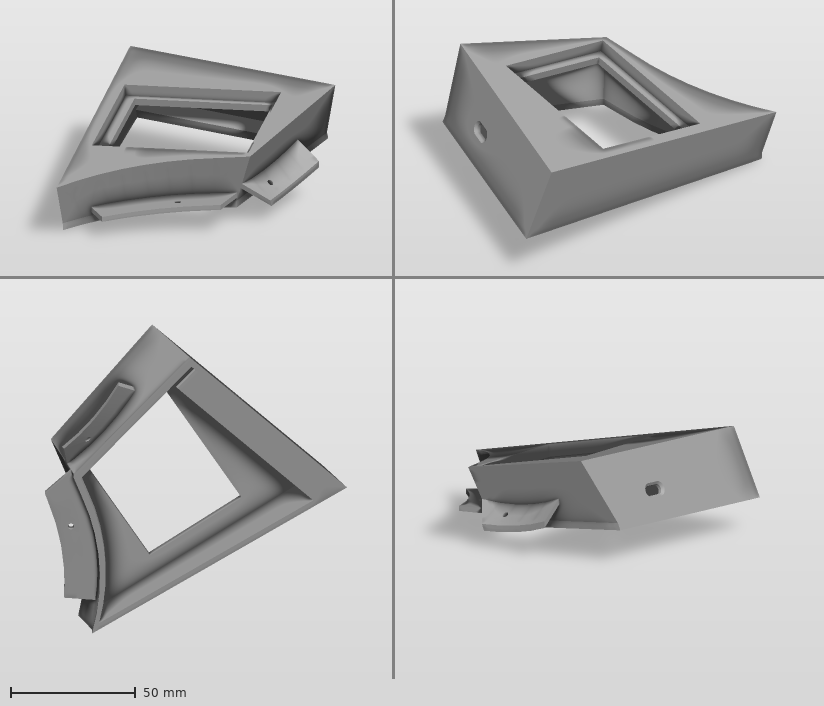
import cadquery as cq
import math

WALL = 2.5
RIM_HEIGHT = 3.0
RECESS_DEPTH = 5.0
PLATE_DEPTH = 8.0
TAB_HOLE_DIAMETER = 2.6
CUT_REACH = 24.6
LARGE = 246.0

TOP_FACE = (0.017, 0.1835, 20.0)
BOTTOM_FACE = (0.0102, 0.1094, -1.0)

TOP_OUTLINE = [(26.8, 0), (50.9, 25.8), (76.7, 39.8), (90.4, 45.4), (96.4, 107.1), (1.6, 111.0)]
BOTTOM_OUTLINE = [(26.0, 6.9), (49.0, 32.5), (73.8, 46.6), (82.0, 50.0), (86.7, 119.3), (0, 123)]

RECESS_CORNER = (14.1, 82.4)
PANEL_DIRECTION = (52.0, 10.7)
RECESS_LENGTH, RECESS_WIDTH = 65.3, 49.5
LEDGE_LEFT, LEDGE_RIGHT, LEDGE_BACK, LEDGE_FRONT = 4.2, 3.6, 2.1, 3.6

SLOT_X, SLOT_Y = 59.0, 115.6
SLOT_LENGTH, SLOT_WIDTH = 11.4, 6.0
SLOT_BEVEL = 1.0

BACK_FLANGE_WIDTH = 12.7
BACK_FLANGE_HEIGHT = 4.0
BACK_FLANGE_GAP = 3.5

FRONT_TAB_FACE = (0.044, 0.05, 6.0)
FRONT_TAB_THICKNESS = 2.1
FRONT_TAB_OUTER = [(43.3, 7.7), (59.9, 22.4), (79.0, 33.1), (82.6, 34.8)]
FRONT_TAB_INNER = [(82.8, 49.1), (75, 45.8), (49.8, 31.9), (33.8, 16.1)]
FRONT_TAB_HOLE = (64.7, 32.1)

RIGHT_TAB_CORNER = (94.3, 54.0, 8.6)
RIGHT_TAB_RUN = (3.7, 36.0, 6.1)
RIGHT_TAB_REACH = (7.5, 0.2, -6.1)
RIGHT_TAB_SAG = 2.0
RIGHT_TAB_WIDTH = 12.9
RIGHT_TAB_DROP = 2.7
RIGHT_TAB_LEAD = 7.4
RIGHT_TAB_HOLE = (9.8, 5.8)


def face_height(face, x, y):
    slope_x, slope_y, height = face
    return slope_x * x + slope_y * y + height


def on_face(face, outline, lift=0.0):
    """Raise a flat outline onto a sloped face."""
    return [cq.Vector(x, y, face_height(face, x, y) + lift) for x, y in outline]


def face_normal(face):
    return cq.Vector(-face[0], -face[1], 1).normalized()


def inset(outline, distance):
    """Move every side of an anticlockwise outline inwards by the same distance."""
    corners = []
    for i, (x, y) in enumerate(outline):
        before = outline[i - 1]
        after = outline[(i + 1) % len(outline)]
        angle_in = math.atan2(y - before[1], x - before[0])
        angle_out = math.atan2(after[1] - y, after[0] - x)
        bisector = (angle_in + angle_out) / 2 + math.pi / 2
        if abs(angle_out - angle_in) > math.pi:
            bisector += math.pi
        miter = distance / math.cos(bisector - math.pi / 2 - angle_in)
        corners.append((x + miter * math.cos(bisector), y + miter * math.sin(bisector)))
    return corners


def front_edges(points):
    """Edges of the curved front, the flat front and the right wall at one level."""
    return [
        cq.Edge.makeThreePointArc(*points[:3]),
        cq.Edge.makeLine(points[2], points[3]),
        cq.Edge.makeLine(points[3], points[4]),
    ]


def cap(points):
    """Flat face closing the block at one level."""
    back = cq.Edge.makeLine(points[4], points[5])
    left = cq.Edge.makeLine(points[5], points[0])
    return cq.Face.makeFromWires(cq.Wire.assembleEdges(front_edges(points) + [back, left]))


def flat_wall(*corners):
    return cq.Face.makeFromWires(cq.Wire.makePolygon(corners, close=True))


def slide_to_plane(point, direction, corners):
    """Move a point along a direction until it lies in the plane through three corners."""
    first, second, third = corners
    normal = (second - first).cross(third - first)
    step = (first - point).dot(normal) / direction.dot(normal)
    return point + direction * step


def leaning_block(margin):
    """Solid between the top and bottom faces, its sides moved inwards by the margin.

    The front and the right wall stand upright over the height of the rim.
    The back wall and the left wall are flat all the way down.
    """
    top = on_face(TOP_FACE, inset(TOP_OUTLINE, margin))
    bottom_outline = inset(BOTTOM_OUTLINE, margin)
    bottom = on_face(BOTTOM_FACE, bottom_outline)
    rim = on_face(BOTTOM_FACE, bottom_outline, RIM_HEIGHT)
    left_wall = (top[0], top[5], bottom[5])
    back_wall = (top[4], top[5], bottom[5])
    for level in (bottom, rim):
        level[0] = slide_to_plane(level[0], cq.Vector(1, 0, BOTTOM_FACE[0]), left_wall)
        level[4] = slide_to_plane(level[4], cq.Vector(0, 1, BOTTOM_FACE[1]), back_wall)
    faces = [
        cap(top),
        cap(bottom),
        flat_wall(bottom[0], rim[0], top[0], top[5], bottom[5]),
        flat_wall(bottom[4], rim[4], top[4], top[5], bottom[5]),
    ]
    for lower, upper in ((bottom, rim), (rim, top)):
        for lower_edge, upper_edge in zip(front_edges(lower), front_edges(upper)):
            faces.append(cq.Face.makeRuledSurface(lower_edge, upper_edge))
    return cq.Workplane(obj=cq.Solid.makeSolid(cq.Shell.makeShell(faces)))


def panel_plane():
    """Plane on the top face with its origin at the back left corner of the recess."""
    x, y = RECESS_CORNER
    along_x, along_y = PANEL_DIRECTION
    along_z = TOP_FACE[0] * along_x + TOP_FACE[1] * along_y
    origin = (x, y, face_height(TOP_FACE, x, y))
    return cq.Plane(origin, (along_x, along_y, along_z), face_normal(TOP_FACE))


def shell():
    """Hollow housing, open below, closed above by the top plate."""
    below_plate = (
        cq.Workplane(panel_plane()).workplane(offset=-PLATE_DEPTH).rect(LARGE, LARGE).extrude(-LARGE)
    )
    cavity = leaning_block(WALL).intersect(below_plate)
    return leaning_block(0).cut(cavity)


def panel_cut():
    plane = cq.Workplane(panel_plane())
    recess = plane.rect(RECESS_LENGTH, -RECESS_WIDTH, centered=False).extrude(-RECESS_DEPTH)
    opening_length = RECESS_LENGTH - LEDGE_LEFT - LEDGE_RIGHT
    opening_width = RECESS_WIDTH - LEDGE_BACK - LEDGE_FRONT
    opening = (
        plane.moveTo(LEDGE_LEFT, -LEDGE_BACK)
        .rect(opening_length, -opening_width, centered=False)
        .extrude(-PLATE_DEPTH)
    )
    return recess.union(opening)


def back_wall_plane():
    """Plane on the outside of the back wall, facing outwards, centred at the slot."""
    top_right, top_left = on_face(TOP_FACE, TOP_OUTLINE[-2:])
    bottom_left = on_face(BOTTOM_FACE, BOTTOM_OUTLINE)[-1]
    along = top_right - top_left
    normal = along.cross(top_left - bottom_left) * -1
    above_slot = cq.Vector(SLOT_X, SLOT_Y, 0)
    centre = slide_to_plane(above_slot, cq.Vector(0, 0, 1), (top_right, top_left, bottom_left))
    return cq.Plane(centre, along, normal)


def slot_cut():
    """Rounded slot square through the back wall, bevelled around its mouth."""
    plane = cq.Workplane(back_wall_plane())
    mouth = plane.slot2D(SLOT_LENGTH, SLOT_WIDTH).extrude(-SLOT_BEVEL, taper=45)
    narrowing = 2 * SLOT_BEVEL
    slot = plane.slot2D(SLOT_LENGTH - narrowing, SLOT_WIDTH - narrowing).extrude(2 * WALL, both=True)
    return slot.union(mouth)


def bottom_layer(face, rise, thickness):
    """Large slab whose upper side is a sloped face raised by the given amount."""
    plane = cq.Plane((0, 0, face[2] + rise), (1, 0, face[0]), face_normal(face))
    return cq.Workplane(plane).rect(2 * LARGE, 2 * LARGE).extrude(-thickness)


def back_flange():
    """Strip along the bottom of the back wall, turned inwards."""
    near_back = cq.Workplane(back_wall_plane()).rect(LARGE, LARGE).extrude(-BACK_FLANGE_WIDTH)
    layer = bottom_layer(BOTTOM_FACE, BACK_FLANGE_HEIGHT, LARGE)
    back_right, back_left = on_face(BOTTOM_FACE, BOTTOM_OUTLINE[-2:])
    shift = (back_left - back_right).normalized() * (BACK_FLANGE_GAP + WALL / 2)
    block = leaning_block(WALL / 2)
    return block.intersect(block.translate(shift)).intersect(near_back).intersect(layer)


def front_tab():
    outer_start, outer_middle, outer_end, outer_corner = FRONT_TAB_OUTER
    inner_corner, inner_end, inner_middle, inner_start = FRONT_TAB_INNER
    plan = (
        cq.Workplane()
        .moveTo(*outer_start)
        .threePointArc(outer_middle, outer_end)
        .lineTo(*outer_corner)
        .lineTo(*inner_corner)
        .lineTo(*inner_end)
        .threePointArc(inner_middle, inner_start)
        .close()
        .extrude(LARGE, both=True)
    )
    hole = (
        cq.Workplane()
        .center(*FRONT_TAB_HOLE)
        .circle(TAB_HOLE_DIAMETER / 2)
        .extrude(LARGE, both=True)
    )
    return bottom_layer(FRONT_TAB_FACE, 0, FRONT_TAB_THICKNESS).intersect(plan).cut(hole)


def ahead_of_front():
    """Large block in front of the flat end of the front wall."""
    curve_end, front_right = on_face(TOP_FACE, TOP_OUTLINE)[2:4]
    lower_right = on_face(BOTTOM_FACE, BOTTOM_OUTLINE, RIM_HEIGHT)[3]
    along = front_right - curve_end
    forward = along.cross(front_right - lower_right)
    return cq.Workplane(cq.Plane(front_right, along, forward)).rect(LARGE, LARGE).extrude(LARGE)


def right_tab():
    corner = cq.Vector(*RIGHT_TAB_CORNER)
    run = cq.Vector(*RIGHT_TAB_RUN)
    reach = cq.Vector(*RIGHT_TAB_REACH)
    plane = cq.Plane(corner, run, reach)
    upward = plane.yDir
    chord = run.Length
    radius = (chord ** 2 / 4 + RIGHT_TAB_SAG ** 2) / (2 * RIGHT_TAB_SAG)

    def on_outer_edge(distance):
        """Point of the curved outer edge at a distance along its chord."""
        rise = radius - RIGHT_TAB_SAG - math.sqrt(radius ** 2 - (distance - chord / 2) ** 2)
        return corner + plane.xDir * distance + upward * rise

    outer_edge = cq.Edge.makeThreePointArc(
        on_outer_edge(-RIGHT_TAB_LEAD), on_outer_edge(chord / 2), on_outer_edge(chord)
    )
    inward = plane.zDir * -RIGHT_TAB_WIDTH
    upper_face = cq.Face.makeRuledSurface(outer_edge, outer_edge.translate(inward))
    sheet = cq.Solid.extrudeLinear(upper_face, cq.Vector(0, 0, -RIGHT_TAB_DROP))

    along, inset_from_edge = RIGHT_TAB_HOLE
    hole_centre = corner + plane.xDir * along - plane.zDir * inset_from_edge
    hole = (
        cq.Workplane(cq.Plane(hole_centre, run, upward))
        .circle(TAB_HOLE_DIAMETER / 2)
        .extrude(CUT_REACH, both=True)
    )
    return cq.Workplane(obj=sheet).cut(hole).cut(ahead_of_front())


result = (
    shell()
    .union(back_flange())
    .cut(panel_cut())
    .cut(slot_cut())
    .union(front_tab())
    .union(right_tab())
)